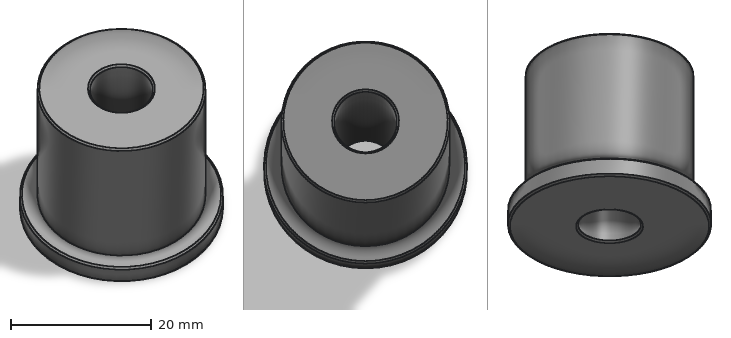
import cadquery as cq

flange_diameter = 29.0
flange_thickness = 3.0
body_diameter = 24.0
total_height = 25.0
bore_mouth_diameter = 9.57
edge_chamfer = 0.3


def cylinder(diameter, height):
    """Cylinder standing on Z = 0."""
    return cq.Workplane("XY").circle(diameter / 2).extrude(height)


flange = cylinder(flange_diameter, flange_thickness).edges().chamfer(edge_chamfer)

body = cylinder(body_diameter, total_height).faces(">Z").edges().chamfer(edge_chamfer)

bore_diameter = bore_mouth_diameter - 2 * edge_chamfer
bore = cylinder(bore_diameter, total_height)
bushing = flange.union(body).cut(bore)
mouth_edges = cq.selectors.RadiusNthSelector(0)
result = bushing.faces("<Z or >Z").edges(mouth_edges).chamfer(edge_chamfer)